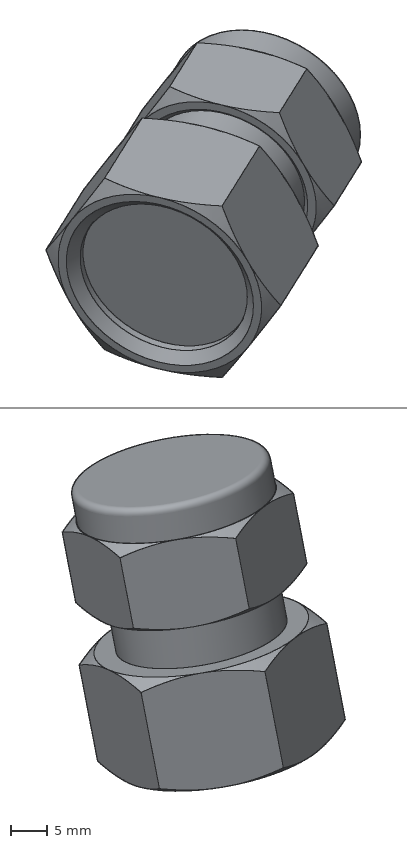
import cadquery as cq
import math

front_flats = 30.0
front_length = 17.0
neck_diameter = 24.0
neck_length = 6.5
rear_flats = 28.0
rear_length = 13.0
collar_diameter = 27.85
collar_round = 1.0
overall_length = 41.5
recess_mouth_diameter = 27.6
recess_floor_diameter = 24.65
recess_taper_depth = (recess_mouth_diameter - recess_floor_diameter) / 2
recess_depth = 2.57
countersink_diameter = 25.5
countersink_depth = (countersink_diameter - neck_diameter) / 2
corner_chamfer_angle = math.radians(30)

rear_start = front_length + neck_length
collar_start = rear_start + rear_length
collar_length = overall_length - collar_start


def workplane_at(y):
    """Plane across the axis at y, extruding toward +Y."""
    return cq.Workplane(cq.Plane(origin=(0, y, 0), xDir=(1, 0, 0), normal=(0, 1, 0)))


def cylinder(start, length, diameter):
    return workplane_at(start).circle(diameter / 2).extrude(length)


def hex_nut(start, length, flats):
    """Hexagon with flats at top and bottom, its corners turned conical at both ends."""
    flat_radius = flats / 2
    corner_radius = flat_radius / math.cos(math.pi / 6)
    chamfer_length = (corner_radius - flat_radius) * math.tan(corner_chamfer_angle)
    end = start + length
    prism = workplane_at(start).polygon(6, 2 * corner_radius).extrude(length)
    turned_envelope = (
        cq.Workplane("XY")
        .moveTo(0, start)
        .lineTo(flat_radius, start)
        .lineTo(corner_radius, start + chamfer_length)
        .lineTo(corner_radius, end - chamfer_length)
        .lineTo(flat_radius, end)
        .lineTo(0, end)
        .close()
        .revolve(360, (0, 0, 0), (0, 1, 0))
    )
    return prism.intersect(turned_envelope)


def front_recess():
    """Recess with a 45 degree mouth leading to a short bore with a flat floor."""
    return (
        cq.Workplane("XY")
        .lineTo(recess_mouth_diameter / 2, 0)
        .lineTo(recess_floor_diameter / 2, recess_taper_depth)
        .lineTo(recess_floor_diameter / 2, recess_depth)
        .lineTo(0, recess_depth)
        .close()
        .revolve(360, (0, 0, 0), (0, 1, 0))
    )


def neck_countersink():
    """Cone frustum opening on the front face of the rear nut."""
    return (
        cq.Workplane("XY")
        .moveTo(0, rear_start)
        .lineTo(countersink_diameter / 2, rear_start)
        .lineTo(neck_diameter / 2, rear_start + countersink_depth)
        .lineTo(0, rear_start + countersink_depth)
        .close()
        .revolve(360, (0, 0, 0), (0, 1, 0))
    )


front_nut = hex_nut(0, front_length, front_flats).cut(front_recess())

neck = cylinder(front_length, neck_length + countersink_depth, neck_diameter)
rear_nut = hex_nut(rear_start, rear_length, rear_flats).cut(neck_countersink())

collar = cylinder(collar_start, collar_length, collar_diameter).faces(">Y").edges().fillet(collar_round)

result = front_nut.union(neck).union(rear_nut).union(collar)